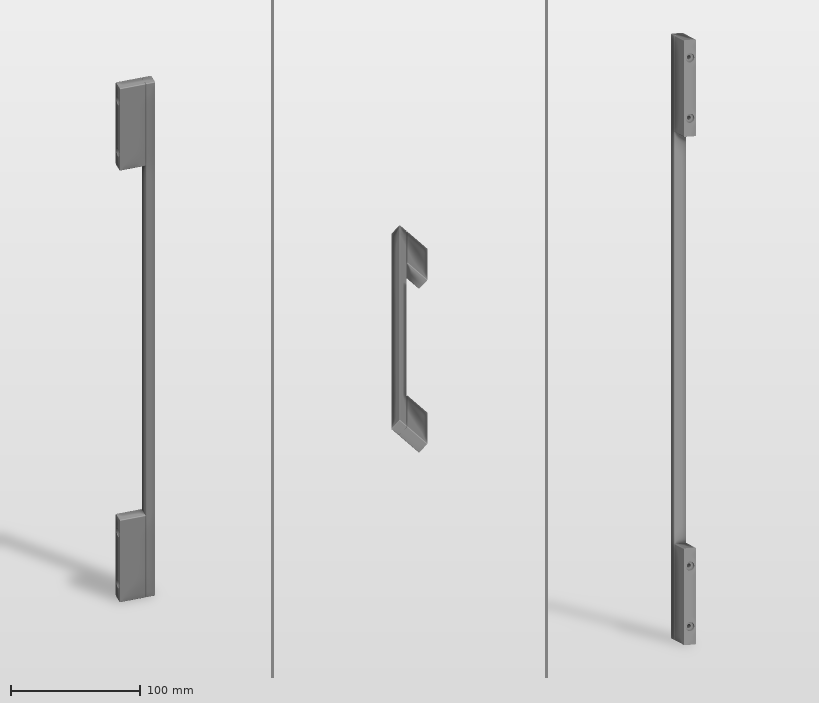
import cadquery as cq

length = 476.0
width = 10.0
depth = 29.0

bar_depth = 8.0
bow = 0.55

block_length = 76.0
block_depth = depth - bar_depth

edge_round = 0.7

hole_inset = 14.5
hole_diameter = 3.5
hole_depth = 14.5
counterbore_diameter = 7.0
counterbore_depth = 2.5

half_width = width / 2
half_length = length / 2
back_y = depth / 2
front_y = -depth / 2
bow_crest_y = back_y - bar_depth
bow_edge_y = bow_crest_y + bow


def make_bar():
    """Full-length grip bar, rounded along its long edges and on the back and sides of its ends."""
    sharp_bar = (
        cq.Workplane("XY", origin=(0, 0, -half_length))
        .moveTo(-half_width, bow_edge_y)
        .threePointArc((0, bow_crest_y), (half_width, bow_edge_y))
        .lineTo(half_width, back_y)
        .lineTo(-half_width, back_y)
        .close()
        .extrude(length)
    )
    return sharp_bar.edges("|Z or |Y or >Y").fillet(edge_round)


def make_block(side):
    """Mounting block at the top (side = 1) or bottom (side = -1), standing on the crest of the bow."""
    center_y = front_y + block_depth / 2
    center_z = side * (half_length - block_length / 2)
    hole_offset = block_length / 2 - hole_inset
    return (
        cq.Workplane("XY", origin=(0, center_y, center_z))
        .box(width, block_depth, block_length)
        .edges("|Y")
        .fillet(edge_round)
        .faces("<Y")
        .workplane(centerOption="CenterOfBoundBox")
        .pushPoints([(0, -hole_offset), (0, hole_offset)])
        .cboreHole(hole_diameter, counterbore_diameter, counterbore_depth, hole_depth)
    )


bar = make_bar()
blocks = [make_block(side) for side in (1, -1)]

result = cq.Compound.makeCompound([bar.val(), *[block.val() for block in blocks]])